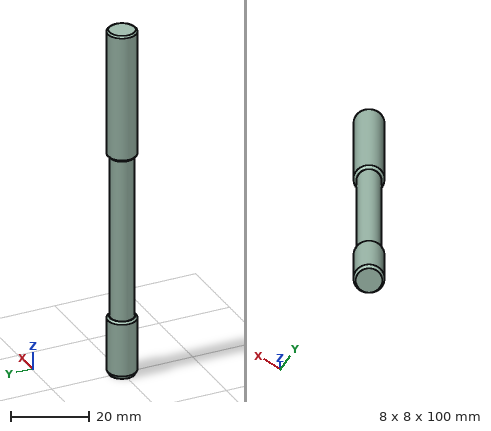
import cadquery as cq

total_length = 100.0
outer_diameter = 8.0
neck_diameter = 6.5

head_length = 16.7
shank_length = 36.8

shank_top_chamfer = 0.5
head_top_chamfer = 0.6
head_tip_chamfer_height = 1.1
head_tip_chamfer_width = 0.6
shank_end_chamfer = 0.8

outer_radius = outer_diameter / 2
neck_length = total_length - head_length - shank_length
shank_start = head_length + neck_length


def make_head():
    """Short cylindrical head at the lower end, chamfered at both ends."""
    return (
        cq.Workplane("XY")
        .circle(outer_radius)
        .extrude(head_length)
        .faces("<Z")
        .chamfer(head_tip_chamfer_height, head_tip_chamfer_width)
        .faces(">Z")
        .chamfer(head_top_chamfer)
    )


def make_shank():
    """Upper shank with the slim neck that reaches down to the head."""
    grip = (
        cq.Workplane("XY")
        .workplane(offset=shank_start)
        .circle(outer_radius)
        .extrude(shank_length)
        .faces(">Z")
        .chamfer(shank_top_chamfer)
        .faces("<Z")
        .chamfer(shank_end_chamfer)
    )
    neck = (
        cq.Workplane("XY")
        .workplane(offset=head_length)
        .circle(neck_diameter / 2)
        .extrude(neck_length)
    )
    return grip.union(neck)


head = make_head()
shank = make_shank()

result = cq.Compound.makeCompound([head.val(), shank.val()])